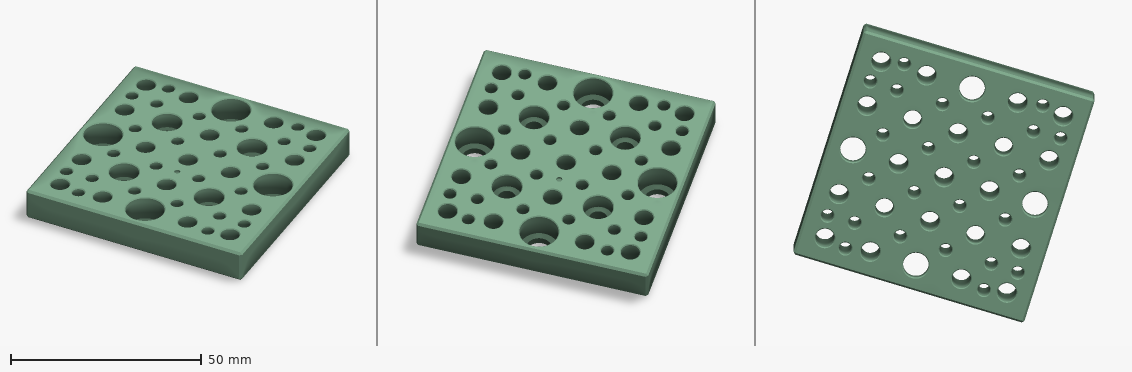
import cadquery as cq

SIDE = 63.5
THICKNESS = 8.9
EDGE_CHAMFER = 0.61

PITCH = 12.5
HALF_PITCH = PITCH / 2

MOUTH_CHAMFER = 0.25

LARGE_HOLE = 5.0
SMALL_HOLE = 3.3

CORNER_NEAR = 19.05
CORNER_FAR = 26.15

INNER_BORE = 4.75
INNER_COUNTERBORE = 7.95
INNER_COUNTERBORE_DEPTH = 4.6
OUTER_BORE = 6.7
OUTER_COUNTERBORE = 10.3
OUTER_COUNTERBORE_DEPTH = 6.7

DIMPLE = 1.6
DIMPLE_DEPTH = 0.5

TOP = THICKNESS / 2
BOTTOM = -TOP


def round_cutter(diameter, bottom, top, chamfered_ends):
    """Vertical cylinder between two heights, flared where it opens onto a plate face."""
    radius = diameter / 2
    cutter = cq.Workplane("XY").workplane(offset=bottom).circle(radius).extrude(top - bottom)
    flare = MOUTH_CHAMFER
    if "top" in chamfered_ends:
        cone = cq.Solid.makeCone(radius, radius + flare, flare, pnt=cq.Vector(0, 0, top - flare))
        cutter = cutter.union(cq.Workplane(cone))
    if "bottom" in chamfered_ends:
        cone = cq.Solid.makeCone(radius + flare, radius, flare, pnt=cq.Vector(0, 0, bottom))
        cutter = cutter.union(cq.Workplane(cone))
    return cutter


def through_cutter(diameter):
    return round_cutter(diameter, BOTTOM, TOP, ("top", "bottom"))


def counterbore_cutter(bore, counterbore, depth):
    """Through bore with a wider flat-bottomed bore sunk from the top face."""
    shaft = round_cutter(bore, BOTTOM, TOP, ("bottom",))
    head = round_cutter(counterbore, TOP - depth, TOP, ("top",))
    return shaft.union(head)


def cut_at(body, cutter, points):
    tool = cutter.val()
    copies = [tool.moved(cq.Location(cq.Vector(x, y, 0))) for x, y in points]
    return cq.Workplane(body.val().cut(*copies))


inner_points = [(x * PITCH, y * PITCH) for x in (-1, 1) for y in (-1, 1)]
outer_points = [(x * PITCH, y * PITCH) for x, y in ((-2, 0), (2, 0), (0, -2), (0, 2))]

grid_points = [(x * PITCH, y * PITCH) for x in range(-2, 3) for y in range(-2, 3)]
large_points = [point for point in grid_points if point not in inner_points + outer_points]

odd_steps = (-3, -1, 1, 3)
cell_points = [(x * HALF_PITCH, y * HALF_PITCH) for x in odd_steps for y in odd_steps]
corner_points = [
    (sign_x * x, sign_y * y)
    for x, y in ((CORNER_NEAR, CORNER_FAR), (CORNER_FAR, CORNER_NEAR))
    for sign_x in (-1, 1)
    for sign_y in (-1, 1)
]

plate = cq.Workplane("XY").box(SIDE, SIDE, THICKNESS).edges().chamfer(EDGE_CHAMFER)

plate = cut_at(plate, through_cutter(LARGE_HOLE), large_points)
plate = cut_at(plate, through_cutter(SMALL_HOLE), cell_points + corner_points)
plate = cut_at(
    plate,
    counterbore_cutter(INNER_BORE, INNER_COUNTERBORE, INNER_COUNTERBORE_DEPTH),
    inner_points,
)
plate = cut_at(
    plate,
    counterbore_cutter(OUTER_BORE, OUTER_COUNTERBORE, OUTER_COUNTERBORE_DEPTH),
    outer_points,
)

dimple = round_cutter(DIMPLE, TOP - DIMPLE_DEPTH, TOP, ())
plate = cut_at(plate, dimple, [(0, -HALF_PITCH)])

result = plate